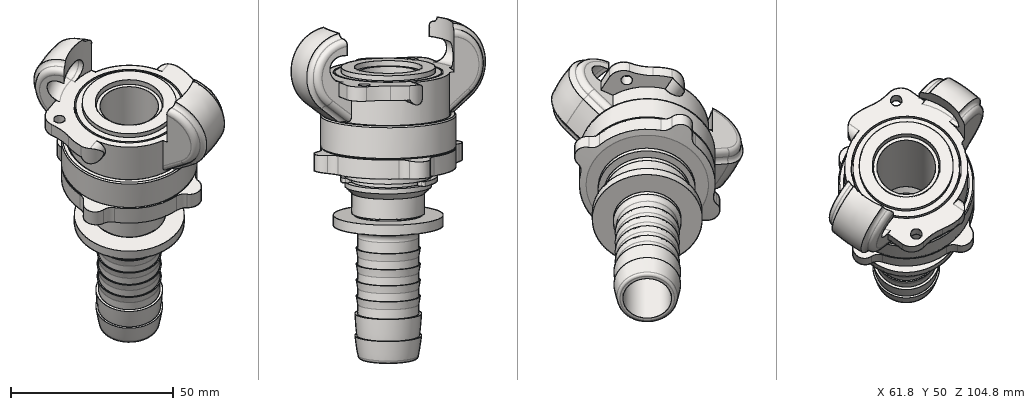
import cadquery as cq
import math


COLLAR_BOTTOM = 41.8
COLLAR_TOP = 45.1
RELIEF_TOP = 45.7
CONE_BOTTOM = 52.1
CONE_TOP = 54.2
CLIP_BOTTOM = 55.8
CLIP_TOP = 57.2
NUT_BOTTOM = 60.0
NUT_TOP = 66.4
SLEEVE_TOP = 76.9
SEAL_SEAT = 86.0
HEAD_TOP = 90.0
SEAL_TOP = 91.5
TOTAL_HEIGHT = 104.8

JOURNAL_D = 26.8
CLIP_GROOVE_D = 23.0
COLLAR_BORE_D = 21.0
HEAD_D = 38.0

BODY_D = 22.5
RELIEF_D = 20.2
SPIGOT_D = 20.2
HOSE_D = 19.0
BARB_D = 19.8
END_BARB_D = 20.7
STEM_BORE_D = 18.0
HOSE_BORE_D = 15.0
SEAT_BOTTOM = 40.5
HOSE_TOP = 38.2
BARB_COUNT = 4
FIRST_BARB_TOP = 34.7
BARB_PITCH = 5.0
BARB_LENGTH = 2.5
UPPER_END_BARB_TOP = 14.2
LOWER_END_BARB_TOP = 7.2
END_BARB_FOOT_D = 19.4
END_BARB_BULGE = 0.1
TIP_D = 18.7
TIP_ROUND = 0.9
BORE_CONE_TOP = 51.4
BORE_CONE_BOTTOM = 49.8

COLLAR_D = 34.0
SLEEVE_D = 41.9
SLEEVE_CHAMFER = 0.4
NUT_LUG_COUNT = 4
NUT_REACH_D = 50.0
NUT_LUG_REACH = NUT_REACH_D / 2
NUT_LUG_R = 3.8
NUT_LUG_BLEND = 3.8
NUT_RIM_TOP = 66.1
NUT_RIM_BOTTOM = 60.8
NUT_CONE_R = 18.9

CLIP_D = 30.0
CLIP_OFFSET = 0.9
CLIP_GAP_DIRECTION = 231
CLIP_GAP_HALF_ANGLE = 62
CLIP_END_ROUND = 0.8

SEAL_BORE_D = 21.0
SEAL_LIP_D = 29.0
SEAL_FLANGE_D = 32.9
SEAL_RECESS_D = 34.0

LUG_BOTTOM = 85.5
LUG_SIDE_X = 21.1
LUG_HOLE_D = 3.5
LUG_HOLE_XY = 15.8
NUB_R = 3.1
NUB_X = -0.9
CLAW_X = -17.5
CLAW_R = 13.4
CLAW_BAND_EDGE_R = 13.1
CLAW_HALF_WIDTH = 17.5 / 2
CLAW_BAND_HALF_WIDTH = 11.2 / 2
CLAW_STEP_R = 11.5
CLAW_STEP_Y = 7.0
CLAW_FACE_R = 9.3
CLAW_TAIL_SLOPE = 38
CLAW_TAIL = 9.4
CLAW_INNER_R = 20.2
CLAW_Z = TOTAL_HEIGHT - math.sqrt(CLAW_R**2 - (CLAW_INNER_R + CLAW_X) ** 2)
POCKET_R = 4.1
POCKET_RING_R = 21.6
POCKET_INNER_R = 15.7
POCKET_SWEEP = 40
POCKET_END_ANGLE = 4.5


def cylinder(diameter, bottom, top):
    return cq.Workplane("XY").workplane(offset=bottom).circle(diameter / 2).extrude(top - bottom)


def half_turn(shape):
    return shape.rotate((0, 0, 0), (0, 0, 1), 180)


def on_circle(radius, degrees):
    angle = math.radians(degrees)
    return radius * math.cos(angle), radius * math.sin(angle)


def end_barb(profile, top, foot_d, foot_z):
    """Add a square step and a slightly bulged taper running down to the foot."""
    middle = ((END_BARB_D + foot_d) / 4 + END_BARB_BULGE, (top + foot_z) / 2)
    return (
        profile.lineTo(HOSE_D / 2, top)
        .lineTo(END_BARB_D / 2, top)
        .threePointArc(middle, (foot_d / 2, foot_z))
    )


def make_stem():
    blend_drop = SEAT_BOTTOM - HOSE_TOP
    blend_width = (COLLAR_BORE_D - HOSE_D) / 2
    blend_middle = (HOSE_D / 2 + 0.3 * blend_width, HOSE_TOP + 0.7 * blend_drop)
    profile = (
        cq.Workplane("XZ")
        .moveTo(0, HEAD_TOP)
        .lineTo(SPIGOT_D / 2, HEAD_TOP)
        .lineTo(SPIGOT_D / 2, SEAL_SEAT)
        .lineTo(JOURNAL_D / 2, SEAL_SEAT)
        .lineTo(JOURNAL_D / 2, CLIP_TOP)
        .lineTo(CLIP_GROOVE_D / 2, CLIP_TOP)
        .lineTo(CLIP_GROOVE_D / 2, CLIP_BOTTOM)
        .lineTo(JOURNAL_D / 2, CLIP_BOTTOM)
        .lineTo(JOURNAL_D / 2, CONE_TOP)
        .lineTo(BODY_D / 2, CONE_BOTTOM)
        .lineTo(BODY_D / 2, RELIEF_TOP)
        .lineTo(RELIEF_D / 2, RELIEF_TOP)
        .lineTo(RELIEF_D / 2, COLLAR_TOP)
        .lineTo(COLLAR_BORE_D / 2, COLLAR_TOP)
        .lineTo(COLLAR_BORE_D / 2, SEAT_BOTTOM)
        .threePointArc(blend_middle, (HOSE_D / 2, HOSE_TOP))
    )
    for index in range(BARB_COUNT):
        barb_top = FIRST_BARB_TOP - index * BARB_PITCH
        profile = (
            profile.lineTo(HOSE_D / 2, barb_top)
            .lineTo(BARB_D / 2, barb_top)
            .lineTo(HOSE_D / 2, barb_top - BARB_LENGTH)
        )
    profile = end_barb(profile, UPPER_END_BARB_TOP, END_BARB_FOOT_D, LOWER_END_BARB_TOP)
    profile = end_barb(profile, LOWER_END_BARB_TOP, TIP_D, TIP_ROUND)
    diagonal = TIP_ROUND * math.sqrt(0.5)
    round_x = TIP_D / 2 - TIP_ROUND
    stem = (
        profile.threePointArc((round_x + diagonal, TIP_ROUND - diagonal), (round_x, 0))
        .lineTo(0, 0)
        .close()
        .revolve(360, (0, 0), (0, 1))
    )
    bore = (
        cq.Workplane("XZ")
        .polyline([
            (0, 0),
            (HOSE_BORE_D / 2, 0),
            (HOSE_BORE_D / 2, BORE_CONE_BOTTOM),
            (STEM_BORE_D / 2, BORE_CONE_TOP),
            (STEM_BORE_D / 2, HEAD_TOP),
            (0, HEAD_TOP),
        ])
        .close()
        .revolve(360, (0, 0), (0, 1))
    )
    return stem.cut(bore)


def make_collar():
    return cylinder(COLLAR_D, COLLAR_BOTTOM, COLLAR_TOP).cut(
        cylinder(COLLAR_BORE_D, COLLAR_BOTTOM, COLLAR_TOP)
    )


def make_snap_ring():
    """Eccentric open ring with rounded ends, seated in the stem groove."""
    offset_x, offset_y = on_circle(CLIP_OFFSET, CLIP_GAP_DIRECTION + 180)
    ring = cylinder(CLIP_D, CLIP_BOTTOM, CLIP_TOP).translate((offset_x, offset_y, 0))
    ring = ring.cut(cylinder(CLIP_GROOVE_D, CLIP_BOTTOM, CLIP_TOP))
    gap_start = CLIP_GAP_DIRECTION - CLIP_GAP_HALF_ANGLE
    gap_end = CLIP_GAP_DIRECTION + CLIP_GAP_HALF_ANGLE
    gap = (
        cq.Workplane("XY")
        .workplane(offset=CLIP_BOTTOM)
        .polyline([
            (0, 0),
            on_circle(CLIP_D, gap_start),
            on_circle(CLIP_D, CLIP_GAP_DIRECTION),
            on_circle(CLIP_D, gap_end),
        ])
        .close()
        .extrude(CLIP_TOP - CLIP_BOTTOM)
    )
    return ring.cut(gap).edges("|Z").fillet(CLIP_END_ROUND)


def make_nut():
    nut = cylinder(SLEEVE_D, NUT_BOTTOM, NUT_TOP)
    for index in range(NUT_LUG_COUNT):
        center = on_circle(NUT_LUG_REACH - NUT_LUG_R, index * 360 / NUT_LUG_COUNT)
        nut = nut.union(cylinder(2 * NUT_LUG_R, NUT_BOTTOM, NUT_TOP).translate((*center, 0)))
    root_r = SLEEVE_D / 2 + 1.6
    roots = cq.selectors.BoxSelector((-root_r, -root_r, 0), (root_r, root_r, 104.8))
    nut = nut.edges("|Z").edges(roots).fillet(NUT_LUG_BLEND)
    envelope = (
        cq.Workplane("XZ")
        .polyline([
            (0, NUT_BOTTOM),
            (NUT_CONE_R, NUT_BOTTOM),
            (NUT_LUG_REACH, NUT_RIM_BOTTOM),
            (NUT_LUG_REACH, NUT_RIM_TOP),
            (NUT_CONE_R, NUT_TOP),
            (0, NUT_TOP),
        ])
        .close()
        .revolve(360, (0, 0), (0, 1))
    )
    return nut.intersect(envelope).cut(cylinder(JOURNAL_D, NUT_BOTTOM, NUT_TOP))


def make_sleeve():
    sleeve = cylinder(SLEEVE_D, NUT_TOP, SLEEVE_TOP).cut(cylinder(HEAD_D, NUT_TOP, SLEEVE_TOP))
    return sleeve.edges("%CIRCLE").chamfer(SLEEVE_CHAMFER)


def make_seal():
    seal = cylinder(SEAL_FLANGE_D, SEAL_SEAT, HEAD_TOP).union(
        cylinder(SEAL_LIP_D, HEAD_TOP, SEAL_TOP)
    )
    return seal.cut(cylinder(SEAL_BORE_D, SEAL_SEAT, SEAL_TOP))


def make_lug():
    """Flange lug on the -X, -Y side, ending in a round nub near the Y axis."""
    outline = (
        cq.Workplane("XY")
        .workplane(offset=NUT_TOP)
        .moveTo(0, 0)
        .lineTo(-LUG_SIDE_X, -5.2)
        .lineTo(-LUG_SIDE_X, -14.5)
        .threePointArc((-19.5, -17.8), (-16.7, -19.2))
        .threePointArc((-13.1, -19.8), (-9.5, -21.3))
        .threePointArc((-6.8, -22.5), (-4.0, -23.4))
        .threePointArc((-0.5, -22.9), (2.3, -19.6))
        .lineTo(2.3, 0)
        .close()
        .extrude(HEAD_TOP - NUT_TOP)
    )
    plate = cq.Workplane("XY").box(
        LUG_SIDE_X + NUB_X, SLEEVE_D, HEAD_TOP - LUG_BOTTOM, centered=False
    ).translate((-LUG_SIDE_X, -SLEEVE_D, LUG_BOTTOM))
    nub = (
        cq.Workplane("XZ")
        .center(NUB_X, HEAD_TOP - NUB_R)
        .circle(NUB_R)
        .extrude(SLEEVE_D)
    )
    hole = cylinder(LUG_HOLE_D, LUG_BOTTOM, HEAD_TOP).translate((-LUG_HOLE_XY, -LUG_HOLE_XY, 0))
    return outline.intersect(plate.union(nub)).cut(hole)


def claw_section():
    """Radial section of a claw: local x is the radius, local y runs across the width."""
    run, drop = on_circle(1, CLAW_TAIL_SLOPE)
    plane = cq.Plane(origin=(CLAW_X, 0, CLAW_Z), xDir=(-drop, 0, -run), normal=(run, 0, -drop))
    round_r = CLAW_STEP_R - 0.5
    round_y = CLAW_HALF_WIDTH - 0.5
    step_r = CLAW_STEP_R + 0.6
    step_y = CLAW_BAND_HALF_WIDTH + 0.4
    return (
        cq.Workplane(plane)
        .moveTo(0, -CLAW_HALF_WIDTH)
        .lineTo(CLAW_FACE_R, -CLAW_HALF_WIDTH)
        .threePointArc((round_r, -round_y), (CLAW_STEP_R, -CLAW_STEP_Y))
        .threePointArc((step_r, -step_y), (CLAW_BAND_EDGE_R, -CLAW_BAND_HALF_WIDTH))
        .threePointArc((CLAW_R, 0), (CLAW_BAND_EDGE_R, CLAW_BAND_HALF_WIDTH))
        .threePointArc((step_r, step_y), (CLAW_STEP_R, CLAW_STEP_Y))
        .threePointArc((round_r, round_y), (CLAW_FACE_R, CLAW_HALF_WIDTH))
        .lineTo(0, CLAW_HALF_WIDTH)
        .close()
    )


def make_pocket():
    """Round-bottomed groove around the main axis that receives the nub of a mating lug."""
    middle_z = HEAD_TOP + POCKET_R
    top = HEAD_TOP + 2 * POCKET_R
    inner_x = -POCKET_INNER_R
    groove = (
        cq.Workplane("XZ")
        .moveTo(inner_x, HEAD_TOP)
        .lineTo(-POCKET_RING_R, HEAD_TOP)
        .threePointArc((-POCKET_RING_R - POCKET_R, middle_z), (-POCKET_RING_R, top))
        .lineTo(inner_x, top)
        .close()
        .revolve(POCKET_SWEEP, (0, 0), (0, 1))
    )
    end_length = POCKET_RING_R - POCKET_INNER_R
    end = (
        cq.Workplane("YZ", origin=(-POCKET_RING_R, 0, middle_z))
        .circle(POCKET_R)
        .extrude(end_length)
    )
    ball = cq.Workplane("XY").sphere(POCKET_R).translate((-POCKET_RING_R, 0, middle_z))
    pocket = groove.union(end).union(ball)
    return pocket.rotate((0, 0, 0), (0, 0, 1), -POCKET_END_ANGLE)


def make_claw():
    """Hook on the -X side: a stepped part-disc about a Y axis with a tail running into the head."""
    disc = claw_section().revolve(270 - CLAW_TAIL_SLOPE, (0, 0), (0, 1))
    claw = disc.union(claw_section().extrude(CLAW_TAIL), clean=False)
    claw = claw.intersect(cylinder(104.8, SLEEVE_TOP, 115.3))
    claw = claw.cut(cylinder(2 * CLAW_INNER_R, HEAD_TOP, 115.3))
    return claw.cut(make_pocket())


def make_head():
    head = cylinder(HEAD_D, NUT_TOP, HEAD_TOP)
    lug = make_lug()
    claw = make_claw()
    for feature in (lug, claw):
        head = head.union(feature).union(half_turn(feature))
    head = head.cut(cylinder(JOURNAL_D, NUT_TOP, HEAD_TOP))
    return head.cut(cylinder(SEAL_RECESS_D, SEAL_SEAT, HEAD_TOP))


stem = make_stem()
collar = make_collar()
snap_ring = make_snap_ring()
nut = make_nut()
sleeve = make_sleeve()
head = make_head()
seal = make_seal()

result = cq.Compound.makeCompound([
    stem.val(),
    collar.val(),
    snap_ring.val(),
    nut.val(),
    sleeve.val(),
    head.val(),
    seal.val(),
])